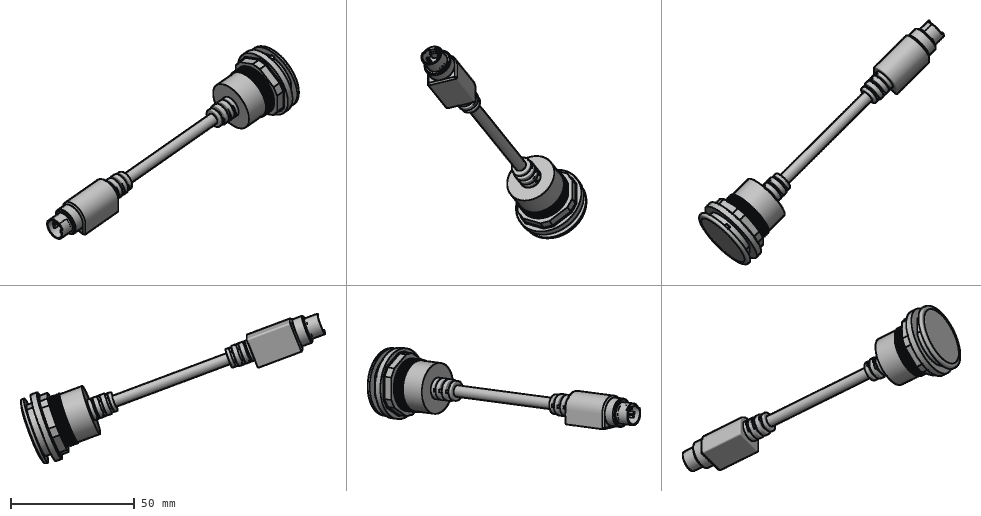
import cadquery as cq
import math

TOTAL_LENGTH = 126.2
REAR_Y = TOTAL_LENGTH / 2
OVERLAP = 0.1

LIP_DIA = 24.2
LIP_END = 0.4
LIP_ROUND = 0.3
BEZEL_DIA = 27.9
BEZEL_END = 1.9
BEZEL_ROUND = 0.8

BARREL_DIA = 21.0
NECK_DIA = 22.3
ACROSS_FLATS = 21.0
THREAD_ROOT_DIA = 21.0
THREAD_CREST_DIA = 21.7
THREAD_PITCH = 1.0
THREAD_TURNS = 5
THREAD_LAND = 0.3
BARREL_END = 25.9

TAB_WIDTH = 1.9
TAB_TOP = 12.0
TAB_END = 3.5
TAB_SUNK = 1.3

FLANGE_DIA = 29.0
FLANGE_START = 5.0
FLANGE_END = 7.7
NUT_END = 11.5
NUT_ACROSS_FLATS = 24.1
NUT_ACROSS_CORNERS = 25.5
NUT_FLARE = 0.4
THREAD_END = NUT_END + THREAD_TURNS * THREAD_PITCH

CABLE_DIA = 4.8
RELIEF_DIA = 9.0
RELIEF_TIP_DIA = 8.2
RING_ROUND = 0.3
STUB_LENGTH = 1.5
STUB_SUNK = 0.6
RING_LENGTH = 2.0
TIP_LENGTH = 1.5
RINGS = (
    (0.8, RELIEF_DIA, RING_LENGTH),
    (1.1, RELIEF_DIA, RING_LENGTH),
    (1.1, RELIEF_TIP_DIA, TIP_LENGTH),
)
BRIDGE_INSET = 0.1
BRIDGE_HEIGHT = 1.1

GRIP_START = 96.0
GRIP_END = 115.9
GRIP_WIDTH = 13.1
GRIP_CORNER_ROUND = 0.8
GRIP_REAR_ROUND = 0.5
GRIP_FRONT_CHAMFER = 0.8
COLLAR_DIA = 11.7
COLLAR_END = 120.4
COLLAR_CHAMFER = 0.5
SHELL_DIA = 9.0
BORE_DIA = 8.0
BORE_DEPTH = 5.0
STEP_DEPTH = 0.8
STEP_HEIGHT = 2.1

PIN_DIA = 1.0
PIN_RECESS = 1.8
PIN_CENTERS = ((2.5, 0.1), (2.0, -1.4))
KEY_WIDTH = 2.9
KEY_BOTTOM = 1.8
KEY_TOP = 2.7
RIDGE_BOTTOM = 3.2
RIDGE_BOTTOM_WIDTH = 2.8
RIDGE_TOP = 4.0
RIDGE_TOP_WIDTH = 3.5


def plane_at(station):
    """Work plane across the axis; local x is X, local y is Z, extrusion goes toward the plug."""
    return cq.Workplane("XZ", origin=(0, REAR_Y - station, 0))


def cylinder(diameter, start, end):
    return plane_at(start).circle(diameter / 2).extrude(end - start)


def make_bezel():
    lip = cylinder(LIP_DIA, 0, LIP_END).faces(">Y").edges().fillet(LIP_ROUND)
    rim = cylinder(BEZEL_DIA, LIP_END, BEZEL_END).faces(">Y").edges().fillet(BEZEL_ROUND)
    return lip.union(rim)


def make_thread():
    """Ring-shaped ridges, one per pitch, revolved about the part axis."""
    root = THREAD_ROOT_DIA / 2
    crest = THREAD_CREST_DIA / 2
    points = [(0, REAR_Y - NUT_END), (root, REAR_Y - NUT_END)]
    for turn in range(THREAD_TURNS):
        start = REAR_Y - NUT_END - turn * THREAD_PITCH
        middle = start - THREAD_PITCH / 2
        end = start - THREAD_PITCH
        points.append((crest, middle + THREAD_LAND / 2))
        points.append((crest, middle - THREAD_LAND / 2))
        points.append((root, end + THREAD_LAND))
        points.append((root, end))
    points.append((0, REAR_Y - THREAD_END))
    return cq.Workplane("XY").polyline(points).close().revolve(360, (0, 0), (0, 1))


def make_barrel():
    neck = cylinder(NECK_DIA, BEZEL_END, NUT_END)
    body = cylinder(BARREL_DIA, THREAD_END, BARREL_END)
    flats = plane_at(0).rect(ACROSS_FLATS, FLANGE_DIA).extrude(THREAD_END)
    return neck.union(make_thread()).intersect(flats).union(body)


def make_tab():
    bottom = NECK_DIA / 2 - TAB_SUNK
    tab = plane_at(BEZEL_END).center(0, (bottom + TAB_TOP) / 2)
    return tab.rect(TAB_WIDTH, TAB_TOP - bottom).extrude(TAB_END - BEZEL_END)


def nut_outline(station, growth):
    """Hexagon with its corners cut off flat; growth moves every side outward."""
    flat = NUT_ACROSS_FLATS / 2 + growth
    corner = NUT_ACROSS_CORNERS / 2 + growth
    half_flat = (corner - flat * math.cos(math.pi / 6)) / math.sin(math.pi / 6)
    radius = math.hypot(flat, half_flat)
    spread = math.atan2(half_flat, flat)
    points = []
    for side in range(6):
        for angle in (side * math.pi / 3 - spread, side * math.pi / 3 + spread):
            points.append((radius * math.cos(angle), radius * math.sin(angle)))
    return plane_at(station).polyline(points).close()


def make_nut():
    nut = nut_outline(FLANGE_END, 0).extrude(NUT_END - FLANGE_END)
    flare = nut_outline(FLANGE_END, NUT_FLARE).extrude(NUT_FLARE, taper=45)
    return nut.union(flare)


def make_relief(base, direction):
    """Ribbed sleeve growing from the base station; direction is +1 toward the plug, -1 away.

    A bridge on each X side joins every ring to the one before it.
    """

    def ring(diameter, near, length):
        start = base + direction * near
        end = start + direction * length
        disc = cylinder(diameter, min(start, end), max(start, end))
        return disc.edges().fillet(RING_ROUND)

    relief = ring(RELIEF_DIA, -STUB_SUNK, STUB_SUNK + STUB_LENGTH)
    reach = STUB_LENGTH
    for gap, diameter, length in RINGS:
        start = base + direction * (reach - RING_ROUND)
        end = base + direction * (reach + gap + RING_ROUND)
        bridge = plane_at(min(start, end)).rect(diameter - BRIDGE_INSET, BRIDGE_HEIGHT)
        relief = relief.union(bridge.extrude(gap + 2 * RING_ROUND))
        relief = relief.union(ring(diameter, reach + gap, length))
        reach += gap + length
    return relief


def make_grip():
    half = GRIP_WIDTH / 2
    outline = (
        plane_at(GRIP_START)
        .moveTo(-half, 0)
        .threePointArc((0, half), (half, 0))
        .lineTo(half, -half)
        .lineTo(-half, -half)
        .close()
    )
    grip = outline.extrude(GRIP_END - GRIP_START)
    grip = grip.edges("|Y and <Z").fillet(GRIP_CORNER_ROUND)
    grip = grip.faces(">Y").edges().fillet(GRIP_REAR_ROUND)
    return grip.faces("<Y").edges().chamfer(GRIP_FRONT_CHAMFER)


def make_contacts():
    floor = TOTAL_LENGTH - BORE_DEPTH - OVERLAP
    length = BORE_DEPTH + OVERLAP - PIN_RECESS
    centers = [(side * x, z) for side in (-1, 1) for x, z in PIN_CENTERS]
    pins = plane_at(floor).pushPoints(centers).circle(PIN_DIA / 2).extrude(length)
    key = plane_at(floor).center(0, (KEY_BOTTOM + KEY_TOP) / 2)
    return pins.union(key.rect(KEY_WIDTH, KEY_TOP - KEY_BOTTOM).extrude(length))


def make_ridge():
    """Polarising ridge along the top of the bore."""
    points = [
        (-RIDGE_BOTTOM_WIDTH / 2, RIDGE_BOTTOM),
        (RIDGE_BOTTOM_WIDTH / 2, RIDGE_BOTTOM),
        (RIDGE_TOP_WIDTH / 2, RIDGE_TOP),
        (-RIDGE_TOP_WIDTH / 2, RIDGE_TOP),
    ]
    return plane_at(TOTAL_LENGTH - BORE_DEPTH).polyline(points).close().extrude(BORE_DEPTH)


def make_plug():
    collar = cylinder(COLLAR_DIA, GRIP_END, COLLAR_END).faces("<Y").edges().chamfer(COLLAR_CHAMFER)
    shell = cylinder(SHELL_DIA, COLLAR_END, TOTAL_LENGTH)
    bore = cylinder(BORE_DIA, TOTAL_LENGTH - BORE_DEPTH, TOTAL_LENGTH)
    plug = make_grip().union(collar).union(shell).cut(bore).union(make_ridge())
    step = plane_at(TOTAL_LENGTH - STEP_DEPTH).center(0, STEP_HEIGHT + SHELL_DIA / 2)
    plug = plug.cut(step.rect(SHELL_DIA, SHELL_DIA).extrude(STEP_DEPTH))
    return plug.union(make_contacts())


pieces = [
    make_bezel(),
    make_barrel(),
    make_tab(),
    cylinder(FLANGE_DIA, FLANGE_START, FLANGE_END),
    make_nut(),
    cylinder(CABLE_DIA, BARREL_END - OVERLAP, GRIP_START + OVERLAP),
    make_relief(BARREL_END, 1),
    make_relief(GRIP_START, -1),
    make_plug(),
]

result = pieces[0]
for piece in pieces[1:]:
    result = result.union(piece)